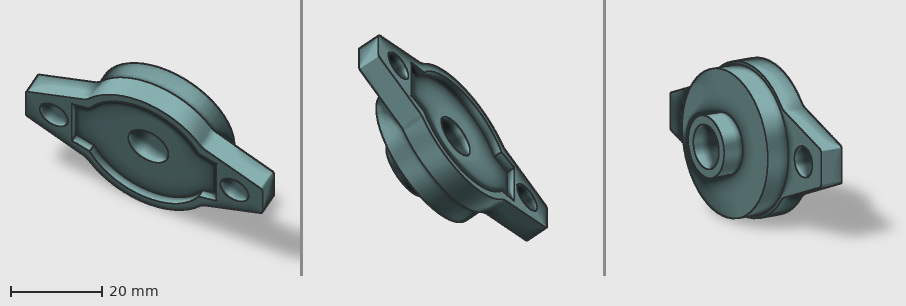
import cadquery as cq
import math

flange_thickness = 5.5
flange_radius = 17.5
ear_reach = 29.5
ear_tip_half_height = 4.15
ear_taper_angle = 21.4
ear_corner_radius = 1.0
ear_root_radius = 4.0

hub_radius = 16.7
hub_end = 11.0
boss_radius = 7.0
boss_end = 16.0

bore_diameter = 10.0
mount_hole_diameter = 7.0
mount_hole_spacing = 45.0

pocket_depth = 2.0
pocket_radius = 15.5
pocket_half_length = 18.0
pocket_end_half_height = 6.45
pocket_taper_angle = 13.5


def cylinder(radius, start, end, x=0):
    """Cylinder along +Y between two Y positions, centred at the given X."""
    length = end - start
    base = cq.Vector(x, start, 0)
    along_y = cq.Vector(0, 1, 0)
    return cq.Workplane(cq.Solid.makeCylinder(radius, length, base, along_y))


def tapered_bar(half_length, end_half_height, taper_angle, depth):
    """Hexagonal bar from Y = 0 to the depth, tallest at X = 0 and tapering to both ends."""
    middle_half_height = end_half_height + half_length * math.tan(math.radians(taper_angle))
    outline = [
        (-half_length, -end_half_height),
        (0, -middle_half_height),
        (half_length, -end_half_height),
        (half_length, end_half_height),
        (0, middle_half_height),
        (-half_length, end_half_height),
    ]
    return cq.Workplane("XZ").polyline(outline).close().extrude(-depth)


def make_flange():
    ears = tapered_bar(ear_reach, ear_tip_half_height, ear_taper_angle, flange_thickness)
    ears = ears.edges("|Y and (<X or >X)").fillet(ear_corner_radius)
    plate = ears.union(cylinder(flange_radius, 0, flange_thickness))
    root_zone = cq.selectors.BoxSelector(
        (-flange_radius, 0, -flange_radius),
        (flange_radius, flange_thickness, flange_radius),
    )
    root_edges = plate.edges("|Y").edges(root_zone)
    return root_edges.fillet(ear_root_radius)


def make_hub():
    hub = cylinder(hub_radius, flange_thickness, hub_end)
    return hub.union(cylinder(boss_radius, hub_end, boss_end))


def make_pocket():
    wings = tapered_bar(pocket_half_length, pocket_end_half_height, pocket_taper_angle, pocket_depth)
    return wings.union(cylinder(pocket_radius, 0, pocket_depth))


def make_holes():
    holes = cylinder(bore_diameter / 2, 0, boss_end)
    for side in (-1, 1):
        hole_x = side * mount_hole_spacing / 2
        holes = holes.union(cylinder(mount_hole_diameter / 2, 0, flange_thickness, hole_x))
    return holes


result = make_flange().union(make_hub()).cut(make_pocket()).cut(make_holes())